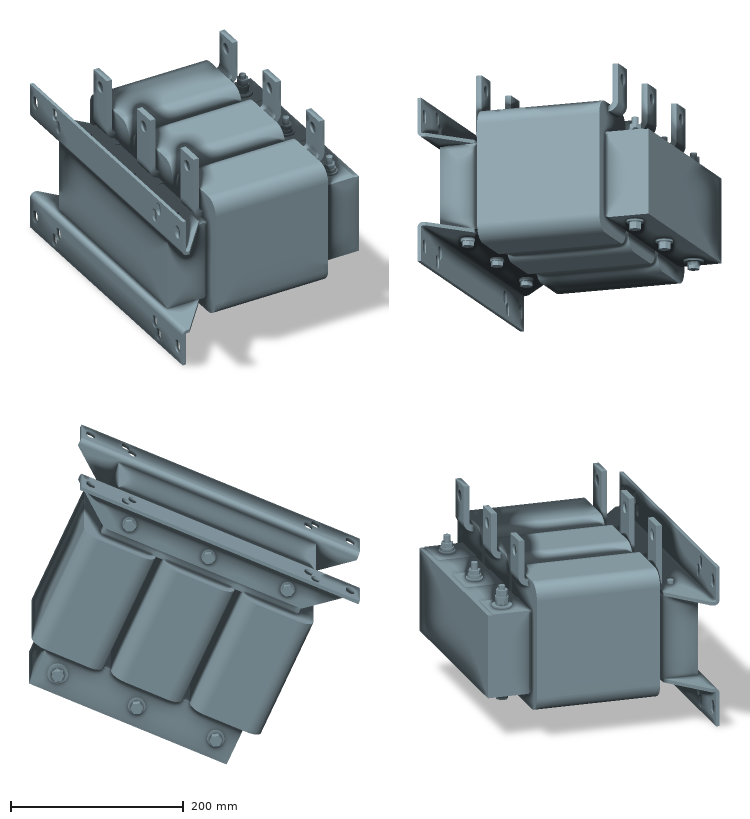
import cadquery as cq
import math

overlap = 1.8

phase_pitch = 100.0
phase_centres = [-phase_pitch, 0, phase_pitch]
limb_width = 49.5
core_width = 2 * phase_pitch + limb_width
core_depth = 256.3
core_height = 101.5
core_top = core_height / 2
core_front = -core_depth / 2
window_depth = 155.5
sheet_inset = 1.0
strip_thickness = 0.7
strip_depth = 244.3
strip_top = core_top + strip_thickness

coil_width = 90.0
coil_depth = 150.3
coil_top = 88.0
coil_bottom = -69.0
coil_radius = 18.3
coil_end = coil_depth / 2

terminal_width = 30.3
terminal_thickness = 7.0
terminal_bend_radius = 12.3
terminal_top = 134.5
terminal_hole_diameter = 13.7
terminal_hole_drop = 16.0
rear_terminal_bottom = 78.0
front_terminal_bottom = 54.0

bracket_length = 352.0
bracket_thickness = 4.2
bracket_bend_radius = 6.0
bracket_height = 46.5
bracket_front = -137.3
bracket_inner_edge = -86.0
end_slot_width = 11.0
end_slot_height = 16.5
end_slot_x = 164.0
end_slot_z = 26.5
mount_slot_width = 10.0
mount_slot_height = 16.2
inner_slot_x = 111.2
inner_slot_z = 21.5
outer_slot_x = 120.0
outer_slot_z = 34.0

bolt_y = 102.8
stud_diameter = 7.7
hex_across_flats = 12.5
hex_across_corners = hex_across_flats * 2 / math.sqrt(3)
tall_stud_top = 77.0
short_stud_top = 72.0
short_nut_top = 63.5
rear_washer_thickness = 2.5
wide_washer_diameter = 24.0
narrow_washer_diameter = 20.0
lower_nut_height = 6.5
lock_washer_diameter = 16.0
lock_washer_thickness = 4.0
upper_nut_top = 72.0
bottom_nut_height = 4.5
rear_head_bottom = -61.5
front_stud_top = 61.0
front_washer_diameter = 16.5
front_washer_thickness = 4.0
front_head_bottom = -64.0


def block(x_size, y_size, z_low, z_high, x=0, y=0):
    """Upright box centred on (x, y)."""
    height = z_high - z_low
    return cq.Workplane("XY").box(x_size, y_size, height).translate((x, y, z_low + height / 2))


def disc(diameter, x, y, z_low, z_high):
    return cq.Workplane("XY", origin=(x, y, z_low)).circle(diameter / 2).extrude(z_high - z_low)


def hexagon(x, y, z_low, z_high, turn=0):
    """Hexagonal prism; with no turn two corners point along X."""
    prism = cq.Workplane("XY").polygon(6, hex_across_corners).extrude(z_high - z_low)
    return prism.rotate((0, 0, 0), (0, 0, 1), turn).translate((x, y, z_low))


def make_core():
    """Two yokes, each faced with an insulating sheet, and a strip over each limb."""
    core = cq.Workplane("XY")
    sheet_width = core_width - 2 * sheet_inset
    sheet_top = core_top - sheet_inset
    sheet_depth = window_depth / 2 - coil_end
    sheet_y = window_depth / 2 - sheet_depth / 2
    yoke_depth = (core_depth - window_depth) / 2
    yoke_y = (window_depth + yoke_depth) / 2
    for side in (-1, 1):
        core = core.union(block(core_width, yoke_depth, -core_top, core_top, y=side * yoke_y))
        core = core.union(block(sheet_width, sheet_depth, -sheet_top, sheet_top, y=side * sheet_y))
    for x in phase_centres:
        core = core.union(block(limb_width, strip_depth, core_top - overlap, strip_top, x=x))
    return core


def make_coil(x):
    return block(coil_width, coil_depth, coil_bottom, coil_top, x=x).edges("|Y").fillet(coil_radius)


def make_terminal(x, bottom, side):
    """Busbar leaving the coil end and bending upward; side is +1 for rear, -1 for front."""
    inner_face = coil_end + terminal_bend_radius - terminal_thickness
    outer_face = coil_end + terminal_bend_radius
    root = coil_end - overlap
    bar = (
        cq.Workplane("YZ")
        .moveTo(root, bottom)
        .lineTo(coil_end, bottom)
        .radiusArc((outer_face, bottom + terminal_bend_radius), -terminal_bend_radius)
        .lineTo(outer_face, terminal_top)
        .lineTo(inner_face, terminal_top)
        .lineTo(inner_face, bottom + terminal_bend_radius)
        .radiusArc((coil_end, bottom + terminal_thickness), terminal_bend_radius - terminal_thickness)
        .lineTo(root, bottom + terminal_thickness)
        .close()
        .extrude(terminal_width / 2, both=True)
    )
    hole = (
        cq.Workplane("XZ", origin=(0, outer_face, terminal_top - terminal_hole_drop))
        .circle(terminal_hole_diameter / 2)
        .extrude(terminal_thickness)
    )
    bar = bar.cut(hole)
    if side < 0:
        bar = bar.mirror("XZ")
    return bar.translate((x, 0, 0))


def upright_slots(points, width, height):
    """Cutters along Y for round-ended slots standing along Z."""
    return (
        cq.Workplane("XZ", origin=(0, core_front, 0))
        .pushPoints(points)
        .slot2D(height, width, 90)
        .extrude(core_front - bracket_front + overlap)
    )


def make_bracket():
    """Angle bracket lying on Z = 0 with its slotted flange pointing up."""
    bend_y = bracket_front + bracket_bend_radius
    flange_back = bracket_front + bracket_thickness
    angle = (
        cq.Workplane("YZ")
        .moveTo(bracket_inner_edge, 0)
        .lineTo(bend_y, 0)
        .radiusArc((bracket_front, bracket_bend_radius), bracket_bend_radius)
        .lineTo(bracket_front, bracket_height)
        .lineTo(flange_back, bracket_height)
        .lineTo(flange_back, bracket_bend_radius)
        .radiusArc((bend_y, bracket_thickness), bracket_thickness - bracket_bend_radius)
        .lineTo(bracket_inner_edge, bracket_thickness)
        .close()
        .extrude(bracket_length / 2, both=True)
    )
    footprint = (
        cq.Workplane("XY")
        .moveTo(-bracket_length / 2, bracket_front)
        .lineTo(bracket_length / 2, bracket_front)
        .lineTo(bracket_length / 2, core_front)
        .lineTo(core_width / 2, bracket_inner_edge)
        .lineTo(-core_width / 2, bracket_inner_edge)
        .lineTo(-bracket_length / 2, core_front)
        .close()
        .extrude(bracket_height)
    )
    end_points = [(side * end_slot_x, end_slot_z) for side in (-1, 1)]
    mount_points = []
    for side in (-1, 1):
        mount_points.append((side * inner_slot_x, inner_slot_z))
        mount_points.append((side * outer_slot_x, outer_slot_z))
    bracket = angle.intersect(footprint)
    bracket = bracket.cut(upright_slots(end_points, end_slot_width, end_slot_height))
    return bracket.cut(upright_slots(mount_points, mount_slot_width, mount_slot_height))


def make_tall_bolt(x):
    """Rear bolt with a wide washer at each end, two nuts above, and a nut and a head below."""
    washer_top = strip_top + rear_washer_thickness
    lower_nut_top = washer_top + lower_nut_height
    lock_washer_top = lower_nut_top + lock_washer_thickness
    washer_bottom = -core_top - rear_washer_thickness
    head_top = washer_bottom - bottom_nut_height
    bolt = disc(stud_diameter, x, bolt_y, rear_head_bottom, tall_stud_top)
    bolt = bolt.union(disc(wide_washer_diameter, x, bolt_y, core_top, washer_top))
    bolt = bolt.union(hexagon(x, bolt_y, washer_top, lower_nut_top))
    bolt = bolt.union(disc(lock_washer_diameter, x, bolt_y, lower_nut_top, lock_washer_top))
    bolt = bolt.union(hexagon(x, bolt_y, lock_washer_top, upper_nut_top, turn=30))
    bolt = bolt.union(disc(wide_washer_diameter, x, bolt_y, washer_bottom, -core_top))
    bolt = bolt.union(hexagon(x, bolt_y, head_top, washer_bottom))
    return bolt.union(hexagon(x, bolt_y, rear_head_bottom, head_top, turn=30))


def make_short_bolt(x):
    """Rear bolt with a narrow washer at each end, a lock washer and nut above, and a head below."""
    washer_top = strip_top + rear_washer_thickness
    lock_washer_top = washer_top + lock_washer_thickness
    washer_bottom = -core_top - rear_washer_thickness
    bolt = disc(stud_diameter, x, bolt_y, rear_head_bottom, short_stud_top)
    bolt = bolt.union(disc(narrow_washer_diameter, x, bolt_y, core_top, washer_top))
    bolt = bolt.union(disc(lock_washer_diameter, x, bolt_y, washer_top, lock_washer_top))
    bolt = bolt.union(hexagon(x, bolt_y, lock_washer_top, short_nut_top, turn=30))
    bolt = bolt.union(disc(narrow_washer_diameter, x, bolt_y, washer_bottom, -core_top))
    return bolt.union(hexagon(x, bolt_y, rear_head_bottom, washer_bottom, turn=30))


def make_front_bolt(x):
    """Bracket bolt with its head and washer under the lower bracket."""
    washer_top = -core_top - bracket_thickness
    washer_bottom = washer_top - front_washer_thickness
    bolt = disc(stud_diameter, x, -bolt_y, front_head_bottom, front_stud_top)
    bolt = bolt.union(disc(front_washer_diameter, x, -bolt_y, washer_bottom, washer_top))
    return bolt.union(hexagon(x, -bolt_y, front_head_bottom, washer_bottom, turn=30))


result = make_core()
bracket = make_bracket()
result = result.union(bracket.translate((0, 0, strip_top)))
result = result.union(bracket.mirror("XY").translate((0, 0, -core_top)))
for x in phase_centres:
    result = result.union(make_coil(x))
    result = result.union(make_terminal(x, rear_terminal_bottom, 1))
    result = result.union(make_terminal(x, front_terminal_bottom, -1))
    result = result.union(make_front_bolt(x))

result = result.union(make_tall_bolt(phase_centres[0]))
for x in phase_centres[1:]:
    result = result.union(make_short_bolt(x))